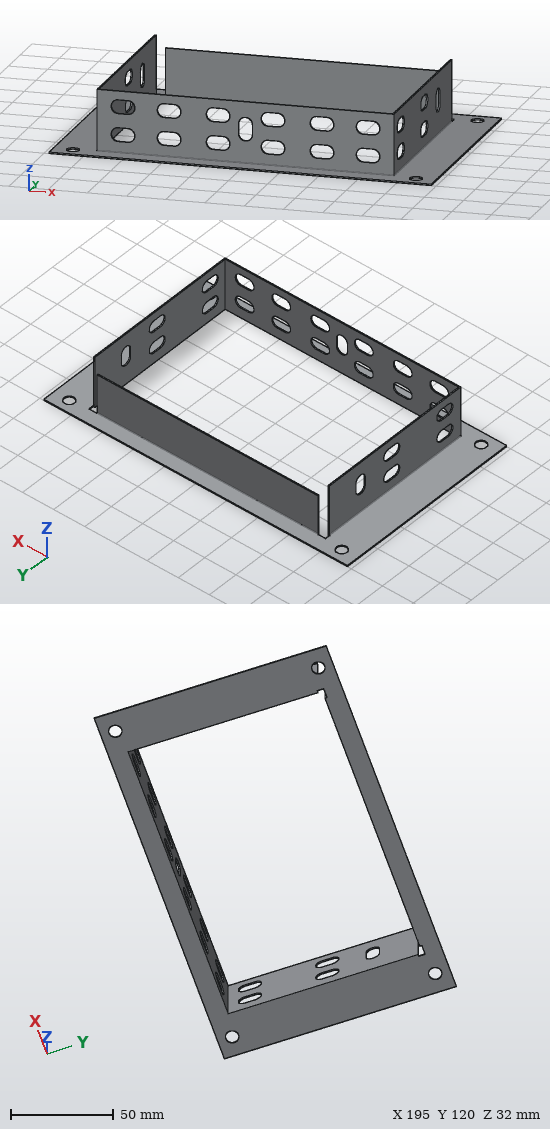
import cadquery as cq

plate_length = 195.0
plate_width = 120.0
sheet = 0.8
mount_hole_diameter = 6.5
mount_spacing_x = 175.0
mount_spacing_y = 105.0

wall_top = 32.0
back_wall_top = 25.0
wall_outer_length = 151.5
wall_outer_width = 102.0
foot_radius = 0.25
wall_inner_length = wall_outer_length - 2 * sheet
wall_inner_width = wall_outer_width - 2 * sheet

back_wall_length = 142.0
side_wall_end_y = 48.0
relief_outer_x = wall_outer_length / 2 + foot_radius
relief_outer_y = wall_outer_width / 2 + foot_radius

slot_length = 12.0
slot_width = 7.0
front_slot_rows_z = (9.8, 24.0)
side_slot_rows_z = (10.0, 23.5)
upright_slot_z = 18.0
front_slot_offsets_x = (14.0, 39.0, 62.5)
side_slots_y = (1.0, -39.0)
side_upright_slot_y = 24.5

HORIZONTAL = 0
UPRIGHT = 90


def block(x_range, y_range, z_range):
    """Box spanning the given (low, high) ranges."""
    size = [high - low for low, high in (x_range, y_range, z_range)]
    corner = (x_range[0], y_range[0], z_range[0])
    return cq.Workplane("XY").box(*size, centered=False).translate(corner)


def foot_edges(length, width, height):
    """Selector for the four edges of a centred rectangle lying at the given height."""
    points = ((length / 2, 0), (-length / 2, 0), (0, width / 2), (0, -width / 2))
    nearest = [cq.selectors.NearestToPointSelector((x, y, height)) for x, y in points]
    return nearest[0] + nearest[1] + nearest[2] + nearest[3]


def collared_plate():
    """Plate with a closed rectangular collar and a small fillet along its outer foot."""
    plate = cq.Workplane("XY").rect(plate_length, plate_width).extrude(sheet)
    collar = cq.Workplane("XY").rect(wall_outer_length, wall_outer_width).extrude(wall_top)
    opening = cq.Workplane("XY").rect(wall_inner_length, wall_inner_width).extrude(wall_top)
    frame = plate.union(collar).cut(opening)
    foot = foot_edges(wall_outer_length, wall_outer_width, sheet)
    return frame.edges(foot).fillet(foot_radius)


def corner_relief(side):
    """Full-height notch at a back corner; side is -1 for left and 1 for right."""
    x_range = sorted((side * back_wall_length / 2, side * relief_outer_x))
    return block(x_range, (side_wall_end_y, relief_outer_y), (0, wall_top))


def back_wall_trim():
    """Material removed above the lower back wall."""
    half_length = back_wall_length / 2
    x_range = (-half_length, half_length)
    return block(x_range, (side_wall_end_y, relief_outer_y), (back_wall_top, wall_top))


def mount_holes():
    """Cutters for the four corner mounting holes."""
    return (
        cq.Workplane("XY")
        .rect(mount_spacing_x, mount_spacing_y, forConstruction=True)
        .vertices()
        .circle(mount_hole_diameter / 2)
        .extrude(sheet)
    )


def front_wall_slots(centers, direction):
    """Round-ended cutters at (x, z) centers, reaching forward from the middle of the part."""
    slots = cq.Workplane("XZ").pushPoints(centers).slot2D(slot_length, slot_width, direction)
    return slots.extrude(plate_width / 2)


def side_wall_slots(centers, direction):
    """Round-ended cutters at (y, z) centers, reaching through both side walls."""
    slots = cq.Workplane("YZ").pushPoints(centers).slot2D(slot_length, slot_width, direction)
    return slots.extrude(plate_length / 2, both=True)


def front_slots():
    """Slots through the front wall: two mirrored rows and one upright slot in the middle."""
    slots_x = [side * offset for offset in front_slot_offsets_x for side in (-1, 1)]
    centers = [(x, z) for x in slots_x for z in front_slot_rows_z]
    rows = front_wall_slots(centers, HORIZONTAL)
    return rows.union(front_wall_slots([(0, upright_slot_z)], UPRIGHT))


def side_slots():
    """Slots through both side walls."""
    centers = [(y, z) for y in side_slots_y for z in side_slot_rows_z]
    rows = side_wall_slots(centers, HORIZONTAL)
    return rows.union(side_wall_slots([(side_upright_slot_y, upright_slot_z)], UPRIGHT))


result = collared_plate()
for side in (-1, 1):
    result = result.cut(corner_relief(side))
result = result.cut(back_wall_trim())
result = result.cut(mount_holes())
result = result.cut(front_slots())
result = result.cut(side_slots())